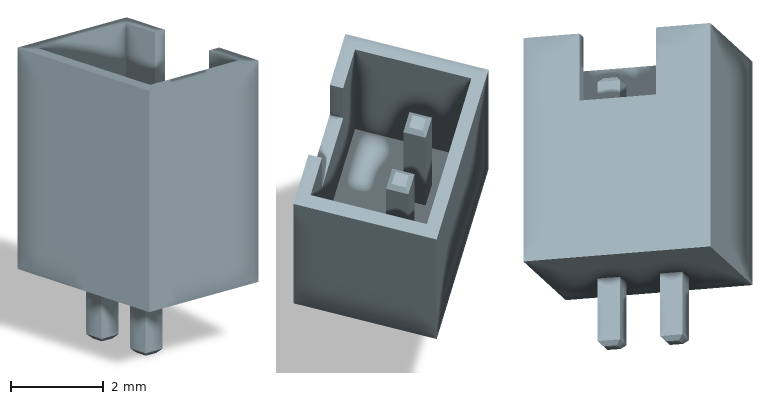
import cadquery as cq

housing_x = 4.2
housing_y = 3.2
housing_z = 5.0
wall = 0.3
floor_thickness = 1.0

notch_width = 1.72
notch_depth = 1.5
notch_x = -0.02

pin_count = 2
pin_pitch = 1.4
pin_size = 0.5
pin_y = -0.4
pin_bottom_z = -1.5
pin_top_z = 4.5
pin_tip_chamfer = 0.1


def make_housing():
    body = cq.Workplane("XY").box(housing_x, housing_y, housing_z, centered=(True, True, False))
    cavity = (
        cq.Workplane("XY", origin=(0, 0, floor_thickness))
        .rect(housing_x - 2 * wall, housing_y - 2 * wall)
        .extrude(housing_z - floor_thickness)
    )
    return body.cut(cavity)


def make_notch():
    wall_center_y = (housing_y - wall) / 2
    return (
        cq.Workplane("XY", origin=(notch_x, wall_center_y, housing_z - notch_depth))
        .rect(notch_width, wall)
        .extrude(notch_depth)
    )


def make_pin(x):
    return (
        cq.Workplane("XY", origin=(x, pin_y, pin_bottom_z))
        .rect(pin_size, pin_size)
        .extrude(pin_top_z - pin_bottom_z)
        .faces("<Z or >Z")
        .chamfer(pin_tip_chamfer)
    )


result = make_housing().cut(make_notch())
first_pin_x = -pin_pitch * (pin_count - 1) / 2
for index in range(pin_count):
    result = result.union(make_pin(first_pin_x + index * pin_pitch))